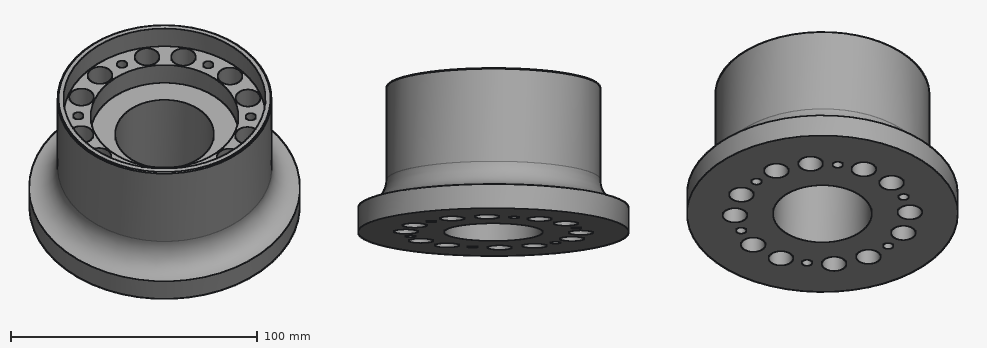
import cadquery as cq

flange_diameter = 110.0
flange_height = 10.0
barrel_diameter = 87.0
total_height = 60.0
rim_chamfer = 0.5
flare_radius = (flange_diameter - barrel_diameter) / 2

recess_diameter = 82.0
recess_depth = 10.0
counterbore_diameter = 60.0
counterbore_depth = 20.0
bore_diameter = 40.1

small_hole_circle_diameter = 70.0
large_hole_circle_diameter = 71.0
small_hole_diameter = 4.2
large_hole_diameter = 10.0
group_count = 6
group_start_angle = 30.0
large_hole_offset_angle = 18.0


def make_body():
    """Revolve the flange, flare and barrel as one solid."""
    flange_radius = flange_diameter / 2
    barrel_radius = barrel_diameter / 2
    flare_top = flange_height + flare_radius
    profile = (
        cq.Workplane("XZ")
        .lineTo(flange_radius, 0)
        .lineTo(flange_radius, flange_height)
        .radiusArc((barrel_radius, flare_top), flare_radius)
        .lineTo(barrel_radius, total_height - rim_chamfer)
        .lineTo(barrel_radius - rim_chamfer, total_height)
        .lineTo(0, total_height)
        .close()
    )
    return profile.revolve(360, (0, 0, 0), (0, 1, 0))


def make_cutter(diameter, bottom):
    """Cylinder on the main axis, from the given height up to the rim."""
    return (
        cq.Workplane("XY")
        .workplane(offset=bottom)
        .circle(diameter / 2)
        .extrude(total_height - bottom)
    )


def make_hole_ring(diameter, circle_diameter, first_angle):
    """Through holes repeated once per group around a hole circle."""
    return (
        cq.Workplane("XY")
        .polarArray(circle_diameter / 2, first_angle, 360, group_count)
        .circle(diameter / 2)
        .extrude(total_height)
    )


result = make_body()

result = result.cut(make_cutter(recess_diameter, total_height - recess_depth))
result = result.cut(make_cutter(counterbore_diameter, total_height - counterbore_depth))
result = result.cut(make_cutter(bore_diameter, 0))

result = result.cut(
    make_hole_ring(small_hole_diameter, small_hole_circle_diameter, group_start_angle)
)
for offset_angle in (-large_hole_offset_angle, large_hole_offset_angle):
    first_angle = group_start_angle + offset_angle
    result = result.cut(
        make_hole_ring(large_hole_diameter, large_hole_circle_diameter, first_angle)
    )